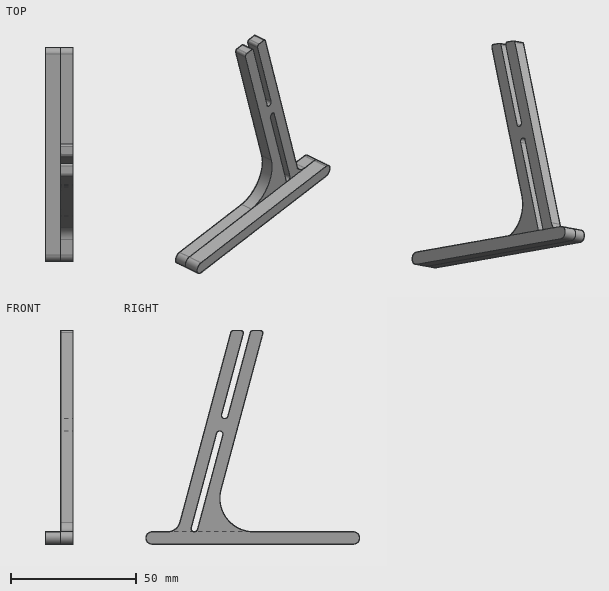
import cadquery as cq
import math

length = 85.0
height = 85.0
foot_height = 5.0
foot_end_radius = foot_height / 2
bar_width = 6.0
stand_width = 5.0

lean_angle = math.radians(15)
prong_thickness = 5.0
slot_width = 2.5
arm_front_y = 12.5
front_fillet_radius = 5.0
rear_fillet_radius = 13.3
tip_fillet_radius = 1.0

lower_slot_bottom_z = foot_height
lower_slot_top_z = 45.0
upper_slot_bottom_z = 50.0
slot_radius = slot_width / 2

arm_thickness = 2 * prong_thickness + slot_width
arm_depth_y = arm_thickness / math.cos(lean_angle)
slot_axis_y = arm_front_y + arm_depth_y / 2
edge_margin = 0.01


def lean_y(start_y, z):
    """Y at height z on a leaning line that leaves the foot top at start_y."""
    return start_y + (z - foot_height) * math.tan(lean_angle)


def make_rounded_bar(start_x, width):
    """Bar along Y with fully rounded ends."""
    return (
        cq.Workplane("YZ", origin=(start_x, length / 2, foot_end_radius))
        .slot2D(length, foot_height)
        .extrude(width)
    )


def make_slot(bottom_center_z, top_center_z):
    """Cutter for a leaning slot with round ends centred at the two heights."""
    middle_z = (bottom_center_z + top_center_z) / 2
    center_distance = (top_center_z - bottom_center_z) / math.cos(lean_angle)
    return (
        cq.Workplane("YZ", origin=(bar_width, lean_y(slot_axis_y, middle_z), middle_z))
        .slot2D(center_distance + slot_width, slot_width, 90 - math.degrees(lean_angle))
        .extrude(stand_width)
    )


def fillet_cross_edges(body, y_range, z, radius):
    """Round the edges that run along X at height z within a range of Y."""
    box = cq.selectors.BoxSelector(
        (bar_width, y_range[0] - edge_margin, z - edge_margin),
        (bar_width + stand_width, y_range[1] + edge_margin, z + edge_margin),
    )
    return body.edges("|X").edges(box).fillet(radius)


def make_stand():
    """Foot and slotted leaning arm in one piece."""
    arm_rear_y = arm_front_y + arm_depth_y
    arm = (
        cq.Workplane("YZ", origin=(bar_width, 0, 0))
        .polyline([
            (lean_y(arm_front_y, foot_end_radius), foot_end_radius),
            (lean_y(arm_rear_y, foot_end_radius), foot_end_radius),
            (lean_y(arm_rear_y, height), height),
            (lean_y(arm_front_y, height), height),
        ])
        .close()
        .extrude(stand_width)
    )
    stand = make_rounded_bar(bar_width, stand_width).union(arm)
    stand = fillet_cross_edges(stand, (arm_front_y, arm_front_y), foot_height, front_fillet_radius)
    stand = fillet_cross_edges(stand, (arm_rear_y, arm_rear_y), foot_height, rear_fillet_radius)

    stand = stand.cut(make_slot(upper_slot_bottom_z + slot_radius, height + slot_width))
    stand = stand.cut(make_slot(lower_slot_bottom_z + slot_radius, lower_slot_top_z - slot_radius))

    return fillet_cross_edges(stand, (0, length), height, tip_fillet_radius)


side_bar = make_rounded_bar(0, bar_width)
stand = make_stand()

result = cq.Compound.makeCompound([side_bar.val(), stand.val()])